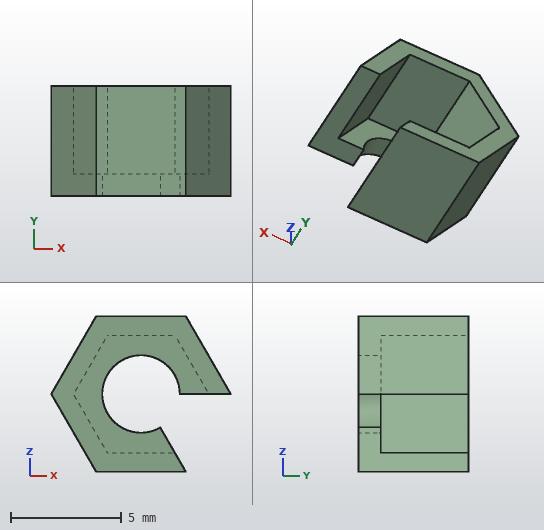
import cadquery as cq
import math

hex_diameter = 8.15
length = 5.0
wall = 1.0
bore_diameter = 3.505
opening_angle = 60.0

front_y = -length / 2
back_y = length / 2
cavity_diameter = hex_diameter - 2 * wall


def plane_at(y):
    """Sketch plane facing -Y, with X to the right and Z up."""
    return cq.Workplane("XZ", origin=(0, y, 0))


body = plane_at(back_y).polygon(6, hex_diameter).extrude(length)

cavity = plane_at(back_y).polygon(6, cavity_diameter).extrude(length - wall)

bore = plane_at(front_y + wall).circle(bore_diameter / 2).extrude(wall)

opening_x = hex_diameter * math.cos(math.radians(opening_angle))
opening_z = -hex_diameter * math.sin(math.radians(opening_angle))
opening = (
    plane_at(back_y)
    .polyline([(0, 0), (hex_diameter, 0), (opening_x, opening_z)])
    .close()
    .extrude(length)
)

result = body.cut(cavity).cut(bore).cut(opening)